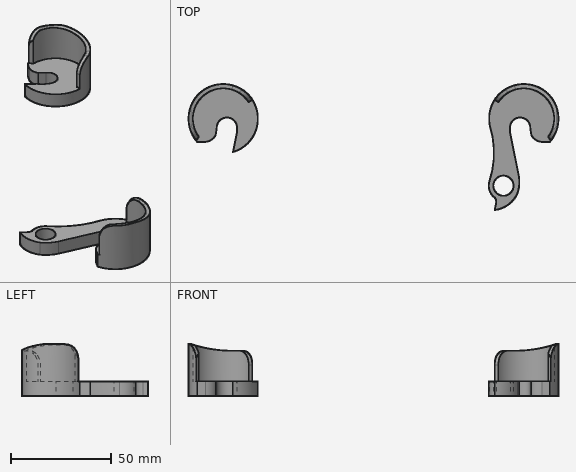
import cadquery as cq
import math

overall_width = 185.0
disc_radius = 17.4
disc_offset = overall_width / 2 - disc_radius

plate_thickness = 7.4
slot_radius = 5.0
slot_x = 1.8
slot_y = -4.5
slot_bend_y = -6.8
lobe_flat_y = -11.6
lobe_flat_end = (-8.9, lobe_flat_y)
lobe_round_middle = (-5.5, -10.4)
lobe_round_start = (-3.7, -8.1)

tail_slot_end = (2.4, -28.7)
tail_waist = (15.0, -15.9)
tail_start_y = -3.7
hole_x = 10.2
hole_y = -33.5
hole_radius = 5.0
boss_radius = 7.4
boss_start_angle = 17.5
boss_end_angle = -54.0
beak_root_middle = (13.9, -41.0)
beak_root = (14.0, -42.9)
beak_tip = (14.6, -45.7)
beak_curve_middle = (8.1, -43.3)
beak_curve_start = (3.3, -37.7)
tail_side_middle = (2.2, -33.1)

wall_height = 26.0
wall_low_height = 22.7
wall_thickness = 2.2
wall_start_angle = 33.0
wall_end_angle = 219.0
wall_inner_end_angle = 216.5
wall_slope_start_x = -16.0
wall_slope_end_x = 4.5
high_corner_radius = 8.0
low_corner_radius = 7.0
cutter_top = wall_height + 1.8


def polar(radius, angle, center=(0.0, 0.0)):
    """Point at an angle in degrees on a circle."""
    turn = math.radians(angle)
    return (center[0] + radius * math.cos(turn), center[1] + radius * math.sin(turn))


def disc_x(y):
    """Positive X of the disc edge at the given Y."""
    return math.sqrt(disc_radius**2 - y**2)


slot_side_x = slot_x + slot_radius
slot_bend = (slot_side_x, slot_bend_y)


def short_tip():
    """Point where the leaning slot side meets the disc edge."""
    lean_x = tail_slot_end[0] - slot_bend[0]
    lean_y = tail_slot_end[1] - slot_bend[1]
    length = math.hypot(lean_x, lean_y)
    lean_x /= length
    lean_y /= length
    along = slot_bend[0] * lean_x + slot_bend[1] * lean_y
    distance = -along + math.sqrt(along**2 + disc_radius**2 - math.hypot(*slot_bend)**2)
    return (slot_bend[0] + distance * lean_x, slot_bend[1] + distance * lean_y)


def start_plate():
    """Outline from the disc edge around the short lobe and through the slot."""
    return (
        cq.Workplane("XY")
        .moveTo(-disc_x(lobe_flat_y), lobe_flat_y)
        .lineTo(*lobe_flat_end)
        .threePointArc(lobe_round_middle, lobe_round_start)
        .lineTo(slot_x - slot_radius, slot_y)
        .threePointArc((slot_x, slot_y + slot_radius), (slot_side_x, slot_y))
        .lineTo(*slot_bend)
    )


def close_plate(outline):
    """Follow the disc edge over the top to the lobe and extrude the plate."""
    return (
        outline
        .threePointArc((0, disc_radius), (-disc_x(lobe_flat_y), lobe_flat_y))
        .close()
        .extrude(plate_thickness)
    )


def short_plate():
    outline = start_plate().lineTo(*short_tip()).threePointArc(
        (disc_radius, 0), (disc_x(tail_start_y), -tail_start_y)
    )
    return close_plate(outline)


def long_plate():
    hole_center = (hole_x, hole_y)
    boss_start = polar(boss_radius, boss_start_angle, hole_center)
    boss_middle = polar(boss_radius, (boss_start_angle + boss_end_angle) / 2, hole_center)
    boss_end = polar(boss_radius, boss_end_angle, hole_center)
    outline = (
        start_plate()
        .lineTo(*tail_slot_end)
        .threePointArc(tail_side_middle, beak_curve_start)
        .threePointArc(beak_curve_middle, beak_tip)
        .lineTo(*beak_root)
        .threePointArc(beak_root_middle, boss_end)
        .threePointArc(boss_middle, boss_start)
        .threePointArc(tail_waist, (disc_x(tail_start_y), tail_start_y))
    )
    hole = cq.Workplane("XY").center(*hole_center).circle(hole_radius).extrude(plate_thickness)
    return close_plate(outline).cut(hole)


def wall_blank():
    """Ring sector with one slanted end, rising from the underside of the plate."""
    inner_radius = disc_radius - wall_thickness
    middle_angle = (wall_start_angle + wall_end_angle) / 2
    return (
        cq.Workplane("XY")
        .moveTo(*polar(disc_radius, wall_start_angle))
        .threePointArc(polar(disc_radius, middle_angle), polar(disc_radius, wall_end_angle))
        .lineTo(*polar(inner_radius, wall_inner_end_angle))
        .threePointArc(polar(inner_radius, middle_angle), polar(inner_radius, wall_start_angle))
        .close()
        .extrude(wall_height)
    )


def rim_cutter():
    """Material above the rim, which falls along an arc and then runs level."""
    drop = wall_height - wall_low_height
    run = wall_slope_end_x - wall_slope_start_x
    arc_radius = (run**2 + drop**2) / (2 * drop)
    half_run = run / 2
    sag = arc_radius - math.sqrt(arc_radius**2 - half_run**2)
    return (
        cq.Workplane("XZ")
        .moveTo(wall_slope_start_x, wall_height)
        .threePointArc(
            (wall_slope_end_x - half_run, wall_low_height + sag),
            (wall_slope_end_x, wall_low_height),
        )
        .lineTo(disc_radius, wall_low_height)
        .lineTo(disc_radius, wall_height)
        .close()
        .extrude(disc_radius, both=True)
    )


def corner_cutter(end_angle, into_wall, height, radius):
    """Material outside a rounded top corner; into_wall is +1 or -1 along the turn."""
    diagonal = math.sqrt(0.5)
    profile = (
        cq.Workplane("YZ")
        .moveTo(0, height - radius)
        .threePointArc(
            (into_wall * radius * (1 - diagonal), height - radius * (1 - diagonal)),
            (into_wall * radius, height),
        )
        .lineTo(into_wall * radius, cutter_top)
        .lineTo(0, cutter_top)
        .close()
        .extrude(disc_radius)
    )
    return profile.rotate((0, 0, 0), (0, 0, 1), end_angle)


def make_wall():
    low_corner = corner_cutter(wall_start_angle, 1, wall_low_height, low_corner_radius)
    high_corner = corner_cutter(wall_end_angle, -1, wall_height, high_corner_radius)
    return wall_blank().cut(rim_cutter()).cut(low_corner).cut(high_corner)


def make_short_hook():
    return short_plate().union(make_wall()).translate((-disc_offset, 0, 0))


def make_long_hook():
    hook = long_plate().union(make_wall())
    return hook.mirror("YZ").translate((disc_offset, 0, 0))


short_hook = make_short_hook()
long_hook = make_long_hook()

result = cq.Compound.makeCompound([short_hook.val(), long_hook.val()])